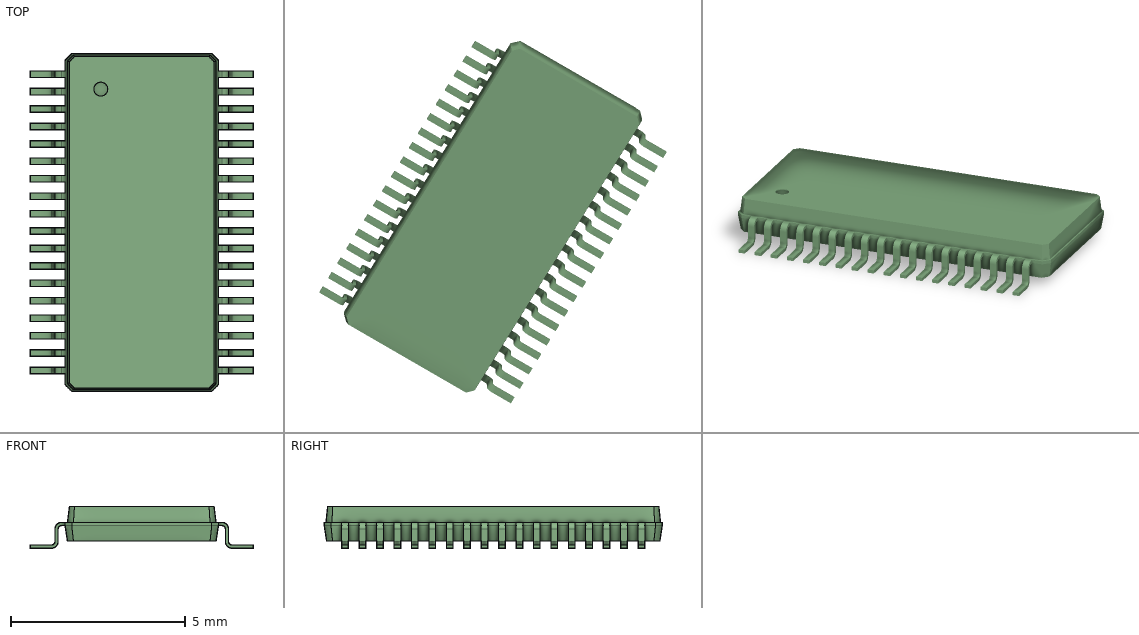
import cadquery as cq

body_length = 9.7
span = 6.4
height = 1.2

body_width = 4.4
standoff = 0.2
corner_chamfer = 0.19
bottom_inset = 0.07
step_inset_x = 0.07
step_inset_y = 0.05
top_inset_x = 0.13
top_inset_y = 0.1
step_corner_chamfer = 0.17
top_corner_chamfer = 0.15
bottom_corner_chamfer = 0.17

leads_per_side = 18
lead_pitch = 0.5
lead_width = 0.19
lead_thickness = 0.1
lead_top = 0.75
shank_outer = 2.49
inner_bend = 0.1
outer_bend = inner_bend + lead_thickness
lead_embed = 0.19

mark_diameter = 0.4
mark_depth = 0.05
mark_x = -1.17
mark_y = 3.82


def outline(inset_x, inset_y, chamfer, z):
    """Body outline at height z: a centred rectangle with cut corners."""
    x = body_width / 2 - inset_x
    y = body_length / 2 - inset_y
    corners = [
        (x - chamfer, -y), (x, chamfer - y), (x, y - chamfer), (x - chamfer, y),
        (chamfer - x, y), (-x, y - chamfer), (-x, chamfer - y), (chamfer - x, -y),
    ]
    return cq.Workplane("XY", origin=(0, 0, z)).polyline(corners).close().wires().val()


def tapered_block(lower, upper):
    """Straight-sided solid between two outlines."""
    return cq.Workplane(obj=cq.Solid.makeLoft([lower, upper], True))


def make_body():
    lead_bottom = lead_top - lead_thickness
    underside = outline(bottom_inset, bottom_inset, bottom_corner_chamfer, standoff)
    band_lower = outline(0, 0, corner_chamfer, lead_bottom)
    band_upper = outline(0, 0, corner_chamfer, lead_top)
    ledge = outline(step_inset_x, step_inset_y, step_corner_chamfer, lead_top)
    top = outline(top_inset_x, top_inset_y, top_corner_chamfer, height)
    body = tapered_block(underside, band_lower)
    body = body.union(tapered_block(band_lower, band_upper))
    return body.union(tapered_block(ledge, top))


def make_lead():
    """One lead on the +X side, centred on Y = 0."""
    tip = span / 2
    root = body_width / 2 - lead_embed
    shank_inner = shank_outer - lead_thickness
    profile = (
        cq.Workplane("XZ", origin=(0, lead_width / 2, 0))
        .moveTo(root, lead_top)
        .lineTo(shank_outer - outer_bend, lead_top)
        .tangentArcPoint((outer_bend, -outer_bend))
        .lineTo(shank_outer, lead_thickness + inner_bend)
        .tangentArcPoint((inner_bend, -inner_bend))
        .lineTo(tip, lead_thickness)
        .lineTo(tip, 0)
        .lineTo(shank_inner + outer_bend, 0)
        .tangentArcPoint((-outer_bend, outer_bend))
        .lineTo(shank_inner, lead_top - outer_bend)
        .tangentArcPoint((-inner_bend, inner_bend))
        .lineTo(root, lead_top - lead_thickness)
        .close()
    )
    return profile.extrude(lead_width)


def make_pin_mark():
    floor = height - mark_depth
    return cq.Workplane("XY", origin=(mark_x, mark_y, floor)).circle(mark_diameter / 2).extrude(mark_depth)


result = make_body().cut(make_pin_mark())
right_lead = make_lead()
left_lead = right_lead.mirror("YZ")
first_lead_y = -lead_pitch * (leads_per_side - 1) / 2
for index in range(leads_per_side):
    lead_y = first_lead_y + index * lead_pitch
    result = result.union(right_lead.translate((0, lead_y, 0)))
    result = result.union(left_lead.translate((0, lead_y, 0)))